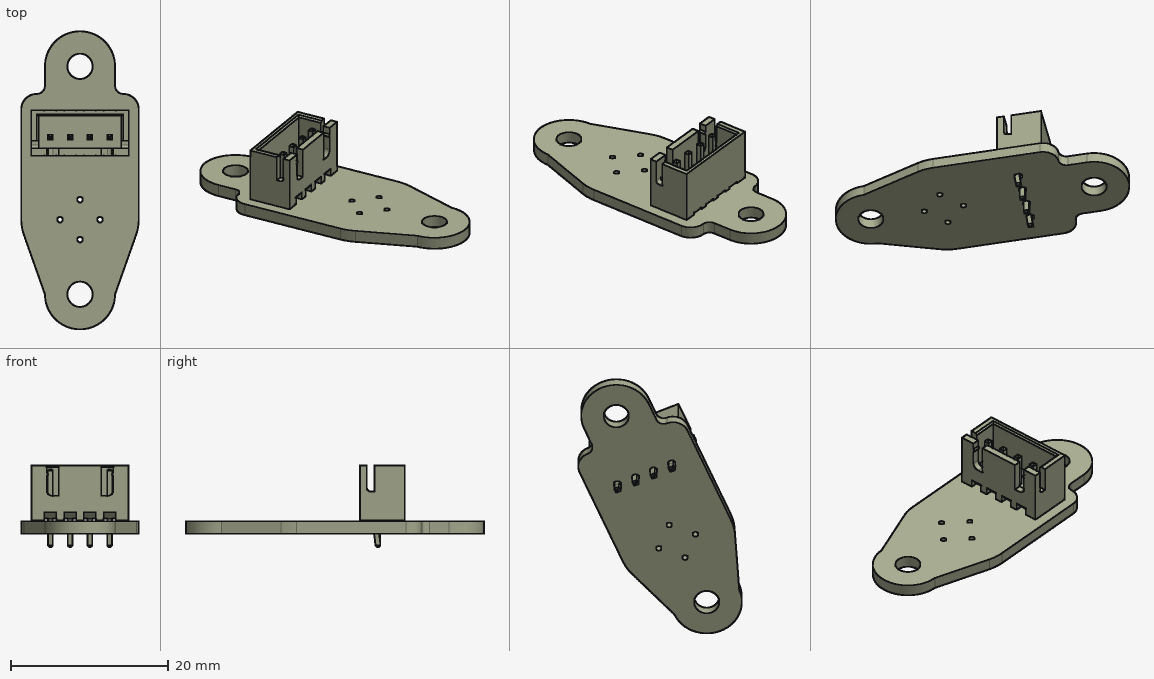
import cadquery as cq
import math

BOARD_LENGTH = 38.0
BOARD_WIDTH = 15.0
BOARD_THICKNESS = 1.6
TAB_RADIUS = 4.5
SHOULDER_Y = 11.02
SHOULDER_RADIUS = 2.0
TAPER_TOP_Y = -5.95
TAPER_RADIUS = 6.0
MOUNT_DIAMETER = 3.2
SMALL_HOLE_DIAMETER = 0.7
SMALL_HOLE_CIRCLE_RADIUS = 2.55
SMALL_HOLE_CENTER_Y = -5.0
PIN_HOLE_DIAMETER = 0.95

HALF_WIDTH = BOARD_WIDTH / 2
TAB_CENTER_Y = BOARD_LENGTH / 2 - TAB_RADIUS
NECK_RADIUS = HALF_WIDTH - TAB_RADIUS - SHOULDER_RADIUS

PIN_COUNT = 4
PIN_PITCH = 2.5
PIN_Y = 5.47
PIN_WIDTH = 0.65
PIN_TIP_BEVEL = 0.23
PIN_TOP_Z = 6.65
PIN_BOTTOM_Z = -3.3
KINK_OFFSET = 0.2

HOUSING_WIDTH = 12.4
HOUSING_DEPTH = 5.75
HOUSING_TOP_Z = 7.1
STANDOFF = 0.1
PIN_TO_FRONT = 2.3
SIDE_WALL = 0.9
FRONT_WALL = 0.9
BACK_WALL = 0.7
CAVITY_DEPTH = 5.0
RIM_CHAMFER = 0.23
BEVEL_ANGLE = 45

SIDE_SLOT_WIDTH = 0.95
SIDE_SLOT_DEPTH = 3.3
SIDE_SLOT_RADIUS = 0.45
FRONT_SLOT_WIDTH = 1.52
FRONT_SLOT_DEPTH = 3.88
FRONT_SLOT_RADIUS = 0.75
FRONT_SLOT_INSET = 1.95
NUB_HEIGHT = 0.23
NUB_DROP = 1.15

NOTCH_WIDTH = 1.52
NOTCH_HEIGHT = 1.03
NOTCH_RAMP_DEPTH = 0.7
CHANNEL_HEIGHT = 0.23

PIN_XS = [(i - (PIN_COUNT - 1) / 2) * PIN_PITCH for i in range(PIN_COUNT)]
FRONT_Y = PIN_Y - PIN_TO_FRONT
BACK_Y = FRONT_Y + HOUSING_DEPTH
CAVITY_FRONT_Y = FRONT_Y + FRONT_WALL
CAVITY_BACK_Y = BACK_Y - BACK_WALL
CAVITY_HALF_WIDTH = HOUSING_WIDTH / 2 - SIDE_WALL


def box(x_range, y_range, z_range):
    """Axis-aligned box from its limits along X, Y and Z."""
    sizes = [high - low for low, high in (x_range, y_range, z_range)]
    corner = (x_range[0], y_range[0], z_range[0])
    return cq.Workplane("XY").box(*sizes, centered=False).translate(corner)


def board_outline():
    """Closed outline: round tab, necks and shoulders at +Y, tapered round end at -Y."""
    diagonal = math.sqrt(0.5)
    neck_x = TAB_RADIUS + NECK_RADIUS
    neck_y = SHOULDER_Y + NECK_RADIUS
    neck_mid = (neck_x - NECK_RADIUS * diagonal, neck_y - NECK_RADIUS * diagonal)
    shoulder_y = SHOULDER_Y - SHOULDER_RADIUS
    shoulder_mid = (neck_x + SHOULDER_RADIUS * diagonal, shoulder_y + SHOULDER_RADIUS * diagonal)

    taper_angle = math.atan2(HALF_WIDTH - TAB_RADIUS, TAPER_TOP_Y + TAB_CENTER_Y)
    tangent = TAPER_RADIUS * math.tan(taper_angle / 2)
    taper_start = (HALF_WIDTH, TAPER_TOP_Y + tangent)
    arc_x = HALF_WIDTH - TAPER_RADIUS
    taper_mid = (
        arc_x + TAPER_RADIUS * math.cos(taper_angle / 2),
        taper_start[1] - TAPER_RADIUS * math.sin(taper_angle / 2),
    )
    taper_end = (
        arc_x + TAPER_RADIUS * math.cos(taper_angle),
        taper_start[1] - TAPER_RADIUS * math.sin(taper_angle),
    )

    def mirrored(point):
        return (-point[0], point[1])

    return (
        cq.Workplane("XY", origin=(0, 0, -BOARD_THICKNESS))
        .moveTo(-TAB_RADIUS, TAB_CENTER_Y)
        .threePointArc((0, BOARD_LENGTH / 2), (TAB_RADIUS, TAB_CENTER_Y))
        .lineTo(TAB_RADIUS, neck_y)
        .threePointArc(neck_mid, (neck_x, SHOULDER_Y))
        .threePointArc(shoulder_mid, (HALF_WIDTH, shoulder_y))
        .lineTo(*taper_start)
        .threePointArc(taper_mid, taper_end)
        .lineTo(TAB_RADIUS, -TAB_CENTER_Y)
        .threePointArc((0, -BOARD_LENGTH / 2), (-TAB_RADIUS, -TAB_CENTER_Y))
        .lineTo(*mirrored(taper_end))
        .threePointArc(mirrored(taper_mid), mirrored(taper_start))
        .lineTo(-HALF_WIDTH, shoulder_y)
        .threePointArc(mirrored(shoulder_mid), (-neck_x, SHOULDER_Y))
        .threePointArc(mirrored(neck_mid), (-TAB_RADIUS, neck_y))
        .close()
    )


def drilled(plate, centers, diameter):
    """Plate with a through hole at each centre."""
    return plate.faces(">Z").workplane(origin=(0, 0, 0)).pushPoints(centers).hole(diameter)


def make_board():
    board = board_outline().extrude(BOARD_THICKNESS)
    board = drilled(board, [(0, TAB_CENTER_Y), (0, -TAB_CENTER_Y)], MOUNT_DIAMETER)
    small_holes = [
        (0, SMALL_HOLE_CENTER_Y + SMALL_HOLE_CIRCLE_RADIUS),
        (0, SMALL_HOLE_CENTER_Y - SMALL_HOLE_CIRCLE_RADIUS),
        (SMALL_HOLE_CIRCLE_RADIUS, SMALL_HOLE_CENTER_Y),
        (-SMALL_HOLE_CIRCLE_RADIUS, SMALL_HOLE_CENTER_Y),
    ]
    board = drilled(board, small_holes, SMALL_HOLE_DIAMETER)
    return drilled(board, [(x, PIN_Y) for x in PIN_XS], PIN_HOLE_DIAMETER)


def cut_cavity(housing):
    """Open-topped cavity with a chamfered rim along the back and side walls."""
    cavity = box(
        (-CAVITY_HALF_WIDTH, CAVITY_HALF_WIDTH),
        (CAVITY_FRONT_Y, CAVITY_BACK_Y),
        (HOUSING_TOP_Z - CAVITY_DEPTH, HOUSING_TOP_Z),
    )
    flare = (
        cq.Workplane("XY", origin=(0, (CAVITY_FRONT_Y + CAVITY_BACK_Y) / 2, HOUSING_TOP_Z))
        .rect(2 * (CAVITY_HALF_WIDTH + RIM_CHAMFER), CAVITY_BACK_Y - CAVITY_FRONT_Y + 2 * RIM_CHAMFER)
        .extrude(-RIM_CHAMFER, taper=BEVEL_ANGLE)
    )
    front_side = box(
        (-HOUSING_WIDTH, HOUSING_WIDTH), (FRONT_Y, CAVITY_FRONT_Y), (0, HOUSING_TOP_Z)
    )
    return housing.cut(cavity).cut(flare.cut(front_side))


def cut_side_slots(housing):
    """Slot across both side walls, just behind the front wall, its front bottom corner rounded."""
    slot = box(
        (-HOUSING_WIDTH, HOUSING_WIDTH),
        (CAVITY_FRONT_Y, CAVITY_FRONT_Y + SIDE_SLOT_WIDTH),
        (HOUSING_TOP_Z - SIDE_SLOT_DEPTH, HOUSING_TOP_Z),
    )
    return housing.cut(slot.edges("|X and <Z and <Y").fillet(SIDE_SLOT_RADIUS))


def cut_front_slots(housing):
    """Mirrored pair of slots in the front wall, the outer bottom corner of each rounded.

    A small V-shaped nub stands on the outer wall of each slot.
    """
    outer_x = HOUSING_WIDTH / 2 - FRONT_SLOT_INSET
    slot = box(
        (-outer_x, -outer_x + FRONT_SLOT_WIDTH),
        (FRONT_Y, CAVITY_FRONT_Y),
        (HOUSING_TOP_Z - FRONT_SLOT_DEPTH, HOUSING_TOP_Z),
    )
    slot = slot.edges("|Y and <Z and <X").fillet(FRONT_SLOT_RADIUS)
    nub_z = HOUSING_TOP_Z - NUB_DROP
    nub = (
        cq.Workplane("XZ", origin=(0, CAVITY_FRONT_Y, 0))
        .polyline([
            (-outer_x, nub_z - NUB_HEIGHT),
            (-outer_x + NUB_HEIGHT, nub_z),
            (-outer_x, nub_z + NUB_HEIGHT),
        ])
        .close()
        .extrude(FRONT_WALL)
    )
    slot = slot.cut(nub)
    return housing.cut(slot).cut(slot.mirror("YZ"))


def cut_notches(housing):
    """Notch under the front face at each pin: a falling ramp, then a shallow channel to the back."""
    channel_z = STANDOFF + CHANNEL_HEIGHT
    profile = [
        (FRONT_Y, STANDOFF),
        (FRONT_Y, STANDOFF + NOTCH_HEIGHT),
        (FRONT_Y + NOTCH_RAMP_DEPTH, channel_z),
        (BACK_Y, channel_z),
        (BACK_Y, STANDOFF),
    ]
    for x in PIN_XS:
        plane = cq.Workplane("YZ", origin=(x, 0, 0))
        housing = housing.cut(plane.polyline(profile).close().extrude(NOTCH_WIDTH / 2, both=True))
    return housing


def make_housing():
    housing = box(
        (-HOUSING_WIDTH / 2, HOUSING_WIDTH / 2), (FRONT_Y, BACK_Y), (STANDOFF, HOUSING_TOP_Z)
    )
    for cut in (cut_cavity, cut_side_slots, cut_front_slots, cut_notches):
        housing = cut(housing)
    return housing


def make_pin(x, kink):
    """Square pin at x: straight above the board, bent forward by kink at the board's lower face."""
    half = PIN_WIDTH / 2
    top_z = PIN_TOP_Z - PIN_TIP_BEVEL
    bottom_z = PIN_BOTTOM_Z + PIN_TIP_BEVEL
    centerline = [(PIN_Y, top_z), (PIN_Y, 0), (PIN_Y - kink, -BOARD_THICKNESS), (PIN_Y, bottom_z)]
    front = [(y - half, z) for y, z in centerline]
    back = [(y + half, z) for y, z in reversed(centerline)]
    shank = cq.Workplane("YZ", origin=(x, 0, 0)).polyline(front + back).close().extrude(half, both=True)
    for z, height in ((top_z, PIN_TIP_BEVEL), (bottom_z, -PIN_TIP_BEVEL)):
        base = cq.Workplane("XY", origin=(x, PIN_Y, z)).rect(PIN_WIDTH, PIN_WIDTH)
        shank = shank.union(base.extrude(height, taper=BEVEL_ANGLE))
    return shank


def make_connector():
    """Housing and its four pins as one moulded body; only the two outer pins are kinked."""
    connector = make_housing()
    for x in PIN_XS:
        is_outer = x in (PIN_XS[0], PIN_XS[-1])
        connector = connector.union(make_pin(x, KINK_OFFSET if is_outer else 0))
    return connector


connector = make_connector()
board = make_board().cut(connector)

result = cq.Compound.makeCompound([*board.solids().vals(), *connector.solids().vals()])